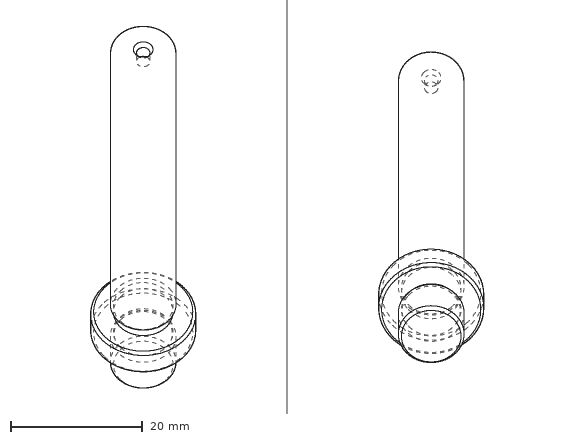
import cadquery as cq
import math

LENGTH = 78.0
SHAFT_RADIUS = 5.0
FLANGE_RADIUS = 7.995
EDGE_CHAMFER = 0.5
SHAFT_ROUND = 1.0

TIP_CHAMFER_HEIGHT = 0.6
SPIGOT_TOP = 7.0
FLANGE_BOTTOM = 8.0
FLANGE_TOP = 13.0
SHAFT_BOTTOM = 15.0

NECK_RADIUS = SHAFT_RADIUS - EDGE_CHAMFER

UNDERCUT_RADIUS = 4.45

HOLE_RADIUS = 1.0
HOLE_MOUTH_RADIUS = 1.5
HOLE_DEPTH = 3.0
MOUTH_HALF_ANGLE = math.radians(30)
TIP_HALF_ANGLE = math.radians(60)


def cylinder(radius, bottom, top):
    """Upright cylinder on the Z axis."""
    return cq.Workplane("XY").workplane(offset=bottom).circle(radius).extrude(top - bottom)


def make_spigot():
    """Locating end with a chamfered tip and an undercut below the flange, revolved about Z."""
    return (
        cq.Workplane("XZ")
        .lineTo(SHAFT_RADIUS - EDGE_CHAMFER, 0)
        .lineTo(SHAFT_RADIUS, TIP_CHAMFER_HEIGHT)
        .lineTo(SHAFT_RADIUS, SPIGOT_TOP)
        .threePointArc(
            (UNDERCUT_RADIUS, (SPIGOT_TOP + FLANGE_BOTTOM) / 2),
            (NECK_RADIUS, FLANGE_BOTTOM),
        )
        .lineTo(0, FLANGE_BOTTOM)
        .close()
        .revolve(360, (0, 0, 0), (0, 1, 0))
    )


def make_flange():
    """Collar with both rims chamfered."""
    return cylinder(FLANGE_RADIUS, FLANGE_BOTTOM, FLANGE_TOP).edges().chamfer(EDGE_CHAMFER)


def make_shaft():
    """Long guide shaft, rounded at the top and chamfered above the neck."""
    shaft = cylinder(SHAFT_RADIUS, SHAFT_BOTTOM - EDGE_CHAMFER, LENGTH)
    return shaft.faces("<Z").chamfer(EDGE_CHAMFER).faces(">Z").edges().fillet(SHAFT_ROUND)


def make_center_hole():
    """Drilled centre with a tapered mouth and a conical tip, revolved about Z."""
    mouth_depth = (HOLE_MOUTH_RADIUS - HOLE_RADIUS) / math.tan(MOUTH_HALF_ANGLE)
    tip_depth = HOLE_RADIUS / math.tan(TIP_HALF_ANGLE)
    return (
        cq.Workplane("XZ")
        .moveTo(0, LENGTH)
        .lineTo(HOLE_MOUTH_RADIUS, LENGTH)
        .lineTo(HOLE_RADIUS, LENGTH - mouth_depth)
        .lineTo(HOLE_RADIUS, LENGTH - HOLE_DEPTH)
        .lineTo(0, LENGTH - HOLE_DEPTH - tip_depth)
        .close()
        .revolve(360, (0, 0, 0), (0, 1, 0))
    )


neck = cylinder(NECK_RADIUS, FLANGE_TOP, SHAFT_BOTTOM - EDGE_CHAMFER)
result = make_spigot().union(make_flange()).union(neck).union(make_shaft()).cut(make_center_hole())